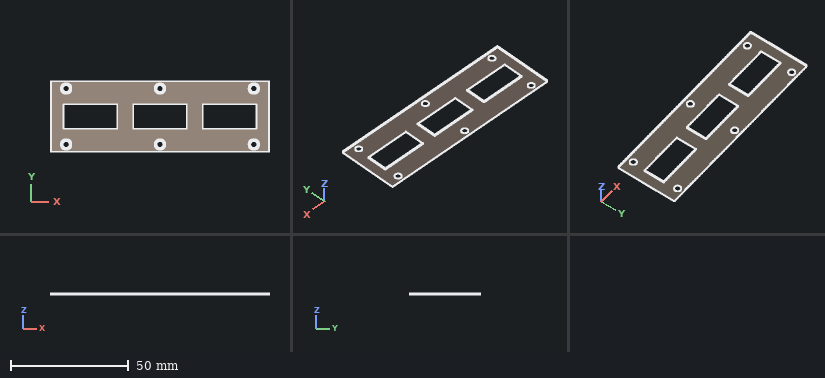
import cadquery as cq

length = 92.5
width = 30.0
thickness = 0.8

window_length = 22.7
window_width = 10.4
window_pitch = 29.5

hole_diameter = 3.0
countersink_diameter = 4.5
countersink_angle = 90.0
hole_pitch_x = 39.8
hole_pitch_y = 23.7

columns = 3
hole_rows = 2

plate = cq.Workplane("XY").box(length, width, thickness)

windowed_plate = (
    plate.faces(">Z")
    .workplane()
    .rarray(window_pitch, window_width, columns, 1)
    .rect(window_length, window_width)
    .cutThruAll()
)

result = (
    windowed_plate.faces(">Z")
    .workplane(origin=(0, 0, 0))
    .rarray(hole_pitch_x, hole_pitch_y, columns, hole_rows)
    .cskHole(hole_diameter, countersink_diameter, countersink_angle)
)